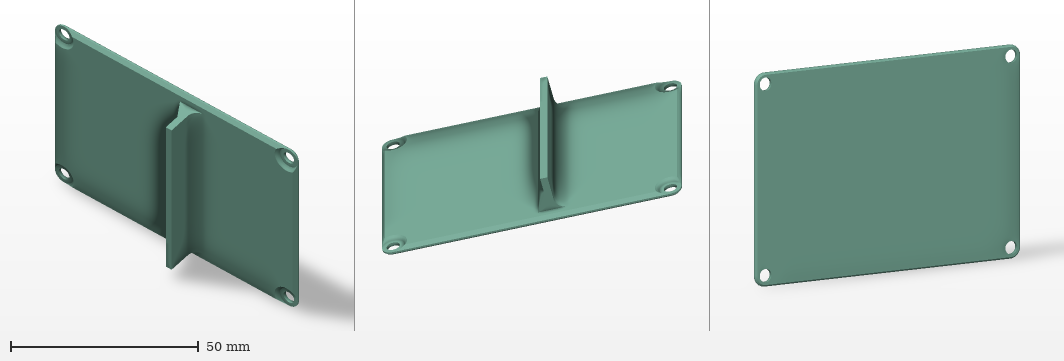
import cadquery as cq

plate_length = 82.0
plate_height = 58.0
plate_thickness = 2.0
corner_radius = 3.0
front_chamfer = 1.0
rear_chamfer = 0.5

hole_diameter = 3.6
seat_radius = corner_radius
seat_depth = front_chamfer
countersink_radius = seat_radius + seat_depth

rib_reach = 10.0
rib_thickness = 2.0
rib_left = 5.0
rib_fillet = 3.0
gusset_width = 3.0
gusset_reach = 5.0

hole_x = plate_length / 2 - corner_radius
hole_z = plate_height / 2 - corner_radius
rib_height = 2 * hole_z
front_y = -plate_thickness


def make_plate():
    """Rounded plate with both rims chamfered."""
    plate = (
        cq.Workplane("XZ")
        .rect(plate_length, plate_height)
        .extrude(plate_thickness)
        .edges("|Y")
        .fillet(corner_radius)
    )
    plate = plate.faces("<Y").chamfer(front_chamfer)
    return plate.faces(">Y").chamfer(rear_chamfer)


def make_rib():
    """Blade with a sloping gusset on its left and a concave fillet on its right."""
    rib_right = rib_left + rib_thickness
    tip_y = front_y - rib_reach
    return (
        cq.Workplane("XY")
        .moveTo(rib_left - gusset_width, front_y)
        .lineTo(rib_left, front_y - gusset_reach)
        .lineTo(rib_left, tip_y)
        .lineTo(rib_right, tip_y)
        .lineTo(rib_right, front_y - rib_fillet)
        .radiusArc((rib_right + rib_fillet, front_y), rib_fillet)
        .lineTo(rib_right + rib_fillet, front_y / 2)
        .lineTo(rib_left - gusset_width, front_y / 2)
        .close()
        .extrude(rib_height / 2, both=True)
    )


def make_screw_cutter(x, z):
    """Through hole with a conical recess that ends on a flat seat."""
    hole = cq.Workplane("XZ").center(x, z).circle(hole_diameter / 2).extrude(plate_thickness)
    recess = cq.Solid.makeCone(
        countersink_radius,
        seat_radius,
        seat_depth,
        pnt=cq.Vector(x, front_y, z),
        dir=cq.Vector(0, 1, 0),
    )
    return hole.union(cq.Workplane(obj=recess))


result = make_plate().union(make_rib())
for x in (-hole_x, hole_x):
    for z in (-hole_z, hole_z):
        result = result.cut(make_screw_cutter(x, z))